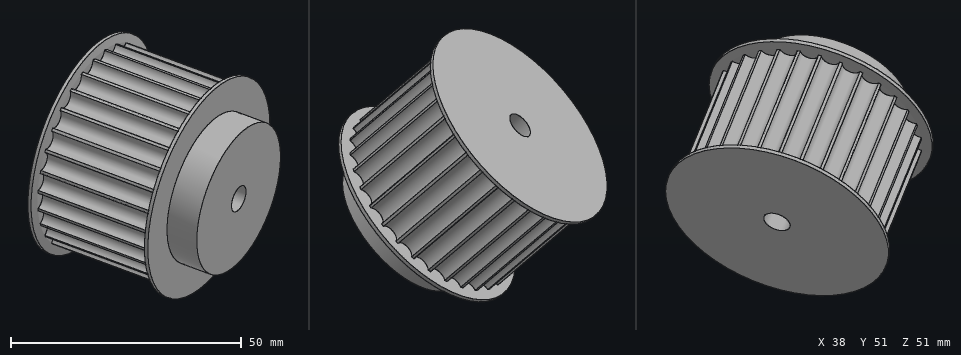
import cadquery as cq
import math

tooth_count = 30
crest_diameter = 46.6
groove_radius = 2.1
crest_width = 0.7

flange_diameter = 51.0
flange_thickness = 1.2
rim_width = 0.85

pulley_length = 38.0
flange_span = 30.45
hub_diameter = 35.0
bore_diameter = 6.0

crest_radius = crest_diameter / 2
tooth_pitch_angle = 360 / tooth_count
crest_angle = math.degrees(crest_width / crest_radius)
groove_half_angle = math.radians((tooth_pitch_angle - crest_angle) / 2)
groove_half_width = crest_radius * math.sin(groove_half_angle)
groove_center_radius = (
    crest_radius * math.cos(groove_half_angle)
    + math.sqrt(groove_radius**2 - groove_half_width**2)
)


def cylinder_along_x(diameter, start, end):
    return cq.Workplane("YZ", origin=(start, 0, 0)).circle(diameter / 2).extrude(end - start)


def flange(outer_x, inward):
    """Flange whose flat outer face is at outer_x; inward (+1 or -1) points to the teeth."""
    rim_x = outer_x + inward * rim_width
    inner_x = outer_x + inward * flange_thickness
    return (
        cq.Workplane("XY")
        .moveTo(outer_x, 0)
        .lineTo(outer_x, flange_diameter / 2)
        .lineTo(rim_x, flange_diameter / 2)
        .lineTo(inner_x, crest_diameter / 2)
        .lineTo(inner_x, 0)
        .close()
        .revolve(360, (0, 0, 0), (1, 0, 0))
    )


def toothed_section(start, end):
    """Cylinder with round grooves; one groove is centred on the -Y side."""
    grooves = (
        cq.Workplane("YZ", origin=(start, 0, 0))
        .polarArray(groove_center_radius, 180, 360, tooth_count)
        .circle(groove_radius)
        .extrude(end - start)
    )
    return cylinder_along_x(crest_diameter, start, end).cut(grooves)


teeth = toothed_section(flange_thickness, flange_span - flange_thickness)
hub = cylinder_along_x(hub_diameter, flange_span, pulley_length)
bore = cylinder_along_x(bore_diameter, 0, pulley_length)

result = (
    teeth
    .union(flange(0, 1))
    .union(flange(flange_span, -1))
    .union(hub)
    .cut(bore)
)